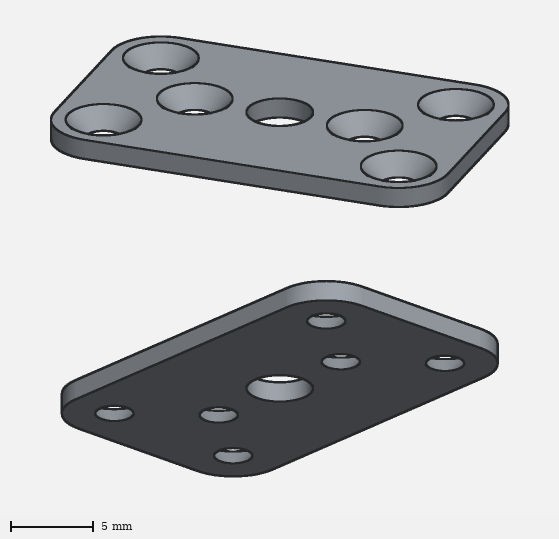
import cadquery as cq

length = 25.4
width = 16.0
thickness = 1.27
corner_radius = 3.18

center_hole_diameter = 4.01
screw_hole_diameter = 2.3
countersink_diameter = 4.57
inner_screw_offset = 5.49

corner_screw_x = length / 2 - corner_radius
corner_screw_y = width / 2 - corner_radius
screw_positions = [
    (-corner_screw_x, -corner_screw_y),
    (-corner_screw_x, corner_screw_y),
    (corner_screw_x, -corner_screw_y),
    (corner_screw_x, corner_screw_y),
    (-inner_screw_offset, 0),
    (inner_screw_offset, 0),
]


def rounded_plate():
    """Flat plate with its top face at Z = thickness."""
    plate = cq.Workplane("XY").box(length, width, thickness, centered=(True, True, False))
    return plate.edges("|Z").fillet(corner_radius)


def conical_screw_hole():
    """Cutter that widens from the bottom face to the top face."""
    return cq.Solid.makeCone(screw_hole_diameter / 2, countersink_diameter / 2, thickness)


result = rounded_plate()
result = result.faces(">Z").workplane().hole(center_hole_diameter)
for x, y in screw_positions:
    result = result.cut(cq.Workplane(conical_screw_hole().translate(cq.Vector(x, y, 0))))